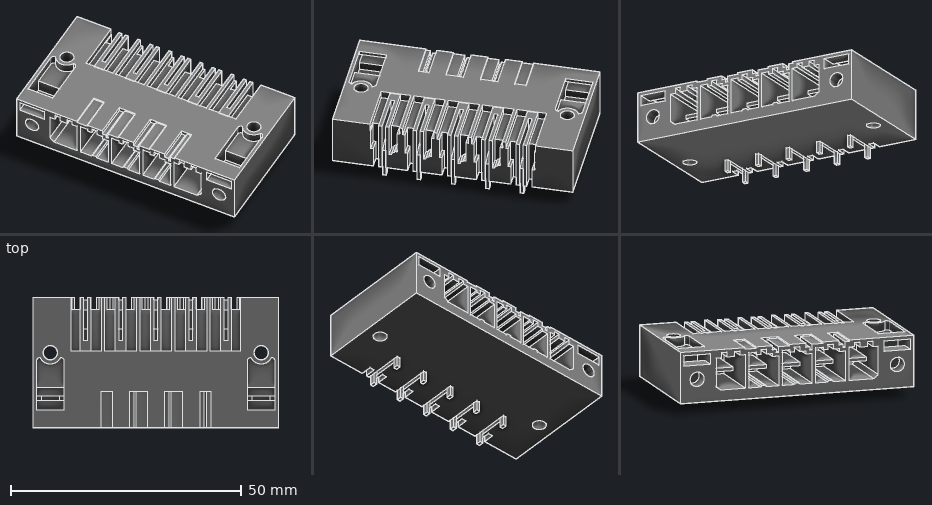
import cadquery as cq
import math


length = 53.35
depth = 28.3
height = 11.45

pole_pitch = 7.65
pole_count = 5
half_count = (pole_count - 1) // 2
pole_offsets = [(i - half_count) * pole_pitch for i in range(pole_count)]
end_pole = pole_offsets[-1]

cell_half = 3.4
end_cell_half = 3.25
cell_depth = 15.0
cell_floor = 2.45
key_top = 10.8
land_top = 9.7
middle_key_half = 0.65
middle_left_step = 1.65
middle_left_roof = 10.25
middle_right_step = 2.0
middle_right_roof = 9.05
end_key_width = 1.25
end_left_key = 2.05
end_left_roof = 9.6
end_right_key = 2.15
end_right_roof = 9.9
bump_base_half = 0.7
bump_top_half = 0.45
bump_top = 2.8
end_chamfer_x = 1.0
end_chamfer_z = 0.85

slot_length = 7.95
shallow_width = 2.5
shallow_depth = 0.3
shallow_before_partition = 0.5
step_width = 0.9
step_depth = 0.9
deep_width = 0.5
deep_depth = 1.6
last_slot_end = 11.95

partition = 0.7
rear_pocket_half = (pole_pitch - partition) / 2
end_pocket_half = 3.1
rear_pocket_depth = 11.7
rear_pocket_floor = height - 1.7
tower_half = 1.2
tower_top = height - 0.15
notch_depth = 2.6
notch_half = 2.95
notch_ledge = 4.8
window_half = 2.35
rear_key_step = 0.25
rear_key_radius = 0.7

flange_x = (half_count + 1) * pole_pitch
screw_diameter = 3.05
screw_y = 16.3
post_radius = 2.45
bay_width = 6.05
bay_front = 3.9
bay_back = 15.25
bay_floor = 6.55
bay_corner = 0.75
block_front = 8.8
block_top = 9.45
bay_window_floor = 8.4
bay_window_top = 10.65
bolt_diameter = 3.2
bolt_z = 5.25
bolt_depth = 3.45
nut_slot_front = 5.9
nut_slot_back = 6.95
nut_diameter = 3.9

sheet = 0.8
blade_width = 4.5
blade_z = 5.75
blade_tip = 5.0
blade_end = depth - 6.85
bar_height = 1.05
leg_width = 1.1
leg_drop = 2.5
front_leg_y = depth - 9.35
rear_leg_back_y = depth - 0.55
bar_slope_length = 2.25
blade_bottom = blade_z - sheet / 2
blade_top = blade_z + sheet / 2


def box(x0, x1, y0, y1, z0, z1):
    """Axis-aligned box between two opposite corners."""
    return cq.Workplane("XY").box(x1 - x0, y1 - y0, z1 - z0, centered=False).translate((x0, y0, z0))


def along_y(outline, y0, y1):
    """Prism from an X-Z outline, running from y0 to y1."""
    return cq.Workplane("XZ", origin=(0, y0, 0)).polyline(outline).close().extrude(y0 - y1)


def cylinder_along_y(diameter, z, y0, y1):
    """Cylinder around the line X = 0 at height z, running from y0 to y1."""
    return cq.Workplane("XZ", origin=(0, y0, z)).circle(diameter / 2).extrude(y0 - y1)


def blade_box(front):
    """Flat contact blade from the given front to its rear end, on the pole at X = 0."""
    return box(-blade_width / 2, blade_width / 2, front, blade_end, blade_bottom, blade_top)


def middle_cell():
    """Plug cell of the inner poles: one key groove, a stepped roof and a floor bump."""
    outline = [
        (-cell_half, cell_floor),
        (-bump_base_half, cell_floor),
        (-bump_top_half, bump_top),
        (bump_top_half, bump_top),
        (bump_base_half, cell_floor),
        (cell_half, cell_floor),
        (cell_half, middle_right_roof),
        (middle_right_step, middle_right_roof),
        (middle_right_step, land_top),
        (middle_key_half, land_top),
        (middle_key_half, key_top),
        (-middle_key_half, key_top),
        (-middle_key_half, land_top),
        (-middle_left_step, land_top),
        (-middle_left_step, middle_left_roof),
        (-cell_half, middle_left_roof),
    ]
    return along_y(outline, 0, cell_depth)


def left_end_cell():
    """Plug cell of the first pole: two key grooves and a chamfered outer floor corner."""
    outline = [
        (-end_cell_half, cell_floor + end_chamfer_z),
        (-end_cell_half + end_chamfer_x, cell_floor),
        (cell_half, cell_floor),
        (cell_half, end_right_roof),
        (end_right_key, end_right_roof),
        (end_right_key, key_top),
        (end_right_key - end_key_width, key_top),
        (end_right_key - end_key_width, land_top),
        (-end_left_key + end_key_width, land_top),
        (-end_left_key + end_key_width, key_top),
        (-end_left_key, key_top),
        (-end_left_key, end_left_roof),
        (-end_cell_half, end_left_roof),
    ]
    return along_y(outline, 0, cell_depth)


def cut_cells(body):
    left_cell = left_end_cell().translate((-end_pole, 0, 0))
    body = body.cut(left_cell).cut(left_cell.mirror("YZ"))
    for x in pole_offsets[1:-1]:
        body = body.cut(middle_cell().translate((x, 0, 0)))
    return body


def cut_coding_slots(body):
    """Shallow slot beside every partition; all but the first also have a stepped deep slot."""
    for i, x in enumerate(pole_offsets[:-1]):
        start = x + pole_pitch / 2 - shallow_before_partition
        end = min(start + shallow_width, last_slot_end)
        body = body.cut(box(start, end, 0, slot_length, height - shallow_depth, height))
        if i > 0:
            deep_start = start - deep_width
            step_start = deep_start - step_width
            body = body.cut(box(deep_start, start, 0, slot_length, height - deep_depth, height))
            body = body.cut(box(step_start, deep_start, 0, slot_length, height - step_depth, height))
    return body


def open_notch(side):
    """Notch at one side of a tower, with a window down to the underside."""
    y0 = depth - notch_depth
    ledge = box(tower_half, notch_half, y0, depth, notch_ledge, height)
    window = box(tower_half, window_half, y0, depth, 0, height)
    notch = ledge.union(window)
    return notch if side > 0 else notch.mirror("YZ")


def keyed_notch():
    """Notch left of a tower, closed below by a floor with a rounded key."""
    rear_key_top = notch_ledge - rear_key_step
    rear_key_bottom = rear_key_top - rear_key_radius
    rear_key_end = -window_half + rear_key_radius
    middle = rear_key_radius * math.sqrt(0.5)
    return (
        cq.Workplane("XZ", origin=(0, depth - notch_depth, 0))
        .moveTo(-notch_half, rear_pocket_floor)
        .lineTo(-notch_half, notch_ledge)
        .lineTo(-window_half, notch_ledge)
        .lineTo(-window_half, rear_key_top)
        .threePointArc((-window_half + middle, rear_key_bottom + middle), (rear_key_end, rear_key_bottom))
        .lineTo(-tower_half, rear_key_bottom)
        .lineTo(-tower_half, rear_pocket_floor)
        .close()
        .extrude(-notch_depth)
    )


def cut_rear(body):
    """Rear pockets, their notches and the slots that hold the contacts."""
    y0 = depth - rear_pocket_depth
    for x in pole_offsets:
        is_first = x == pole_offsets[0]
        is_last = x == pole_offsets[-1]
        left = end_pocket_half if is_first else rear_pocket_half
        right = end_pocket_half if is_last else rear_pocket_half
        pocket = box(-left, right, y0, depth, rear_pocket_floor, height)
        tower = box(-tower_half, tower_half, y0, depth, rear_pocket_floor, tower_top)
        cutter = pocket.cut(tower).union(open_notch(1))
        cutter = cutter.union(open_notch(-1) if is_first else keyed_notch())
        leg_slot = box(-sheet / 2, sheet / 2, front_leg_y, depth, 0, height)
        blade_slot = blade_box(cell_depth)
        cutter = cutter.union(leg_slot).union(blade_slot)
        body = body.cut(cutter.translate((x, 0, 0)))
    return body


def flange_cutter():
    """Everything removed from one flange, centred on X = 0."""
    half = bay_width / 2
    bay = box(-half, half, bay_front, bay_back, bay_floor, height)
    post = cq.Workplane("XY").center(0, screw_y).circle(post_radius).extrude(height)
    bay = bay.cut(post)
    bay = bay.edges("|Z and >Y and (<X or >X)").fillet(bay_corner)
    bay = bay.cut(box(-half, half, block_front, bay_back, bay_floor, block_top))
    window = box(-half, half, 0, bay_front, bay_window_floor, bay_window_top)
    screw = cq.Workplane("XY").center(0, screw_y).circle(screw_diameter / 2).extrude(height)
    bolt = cylinder_along_y(bolt_diameter, bolt_z, 0, bolt_depth)
    nut_slot = box(-half, half, nut_slot_front, nut_slot_back, bolt_z, bay_floor)
    nut_seat = cylinder_along_y(nut_diameter, bolt_z, nut_slot_front, nut_slot_back)
    return bay.union(window).union(screw).union(bolt).union(nut_slot).union(nut_seat)


def make_housing():
    body = box(-length / 2, length / 2, 0, depth, 0, height)
    body = cut_cells(body)
    body = cut_coding_slots(body)
    body = cut_rear(body)
    for x in (-flange_x, flange_x):
        body = body.cut(flange_cutter().translate((x, 0, 0)))
    return body


def make_contact():
    """Blade with a bar behind it on two solder legs."""
    blade = blade_box(blade_tip)
    bar_bottom = blade_bottom - bar_height
    frame = (
        cq.Workplane("YZ", origin=(-sheet / 2, 0, 0))
        .moveTo(front_leg_y, -leg_drop)
        .lineTo(front_leg_y, blade_bottom)
        .lineTo(rear_leg_back_y - bar_slope_length, blade_bottom)
        .lineTo(rear_leg_back_y, bar_bottom)
        .lineTo(rear_leg_back_y, -leg_drop)
        .lineTo(rear_leg_back_y - leg_width, -leg_drop)
        .lineTo(rear_leg_back_y - leg_width, bar_bottom)
        .lineTo(front_leg_y + leg_width, bar_bottom)
        .lineTo(front_leg_y + leg_width, -leg_drop)
        .close()
        .extrude(sheet)
    )
    return blade.union(frame)


housing = make_housing()
contacts = [make_contact().translate((x, 0, 0)) for x in pole_offsets]

result = cq.Compound.makeCompound([housing.val(), *[contact.val() for contact in contacts]])